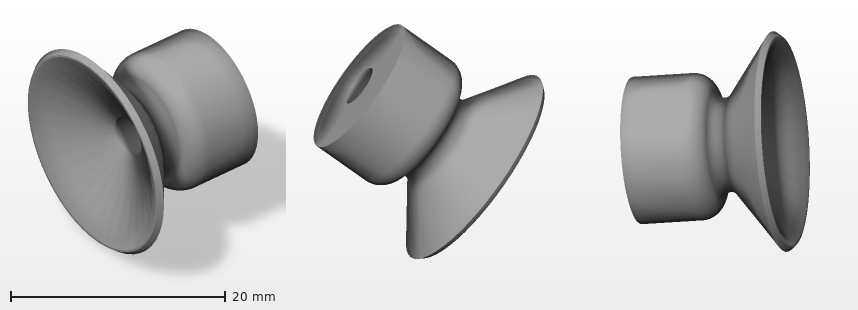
import cadquery as cq
import math

length = 14.2
lip_radius = 10.32
body_radius = 6.9
bore_radius = 2.0

lip_bevel_depth = 0.52
lip_front_radius = 9.91

cup_mouth_radius = 9.7
cup_depth = 4.23

neck_radius = 4.42
neck_depth = 5.47
shoulder_round = 2.0
shoulder_depth = 8.38


def on_arc(center, radius, angle):
    """Point of a circle at an angle given in radians."""
    return (center[0] + radius * math.cos(angle), center[1] + radius * math.sin(angle))


shoulder_inset = body_radius - shoulder_round - neck_radius
shoulder_rise = shoulder_depth - neck_depth
neck_round = (shoulder_inset**2 + shoulder_rise**2 - shoulder_round**2) / (
    2 * (shoulder_round + shoulder_inset)
)

neck_center = (neck_radius + neck_round, neck_depth)
neck_bottom = (neck_radius, neck_depth)
shoulder_center = (body_radius - shoulder_round, shoulder_depth)
lip_edge = (lip_radius, lip_bevel_depth)

lip_direction = math.atan2(lip_edge[1] - neck_center[1], lip_edge[0] - neck_center[0])
tangent_swing = math.acos(neck_round / math.dist(lip_edge, neck_center))
cone_end = on_arc(neck_center, neck_round, lip_direction - tangent_swing)

join_angle = math.atan2(
    shoulder_center[1] - neck_center[1], shoulder_center[0] - neck_center[0]
)
neck_end = on_arc(neck_center, neck_round, join_angle)
shoulder_middle = on_arc(shoulder_center, shoulder_round, (join_angle - math.pi) / 2)

profile = (
    cq.Workplane("XY")
    .moveTo(bore_radius, cup_depth)
    .lineTo(cup_mouth_radius, 0)
    .lineTo(lip_front_radius, 0)
    .lineTo(*lip_edge)
    .lineTo(*cone_end)
    .threePointArc(neck_bottom, neck_end)
    .threePointArc(shoulder_middle, (body_radius, shoulder_depth))
    .lineTo(body_radius, length)
    .lineTo(bore_radius, length)
    .close()
)
result = profile.revolve(360, (0, 0, 0), (0, 1, 0))